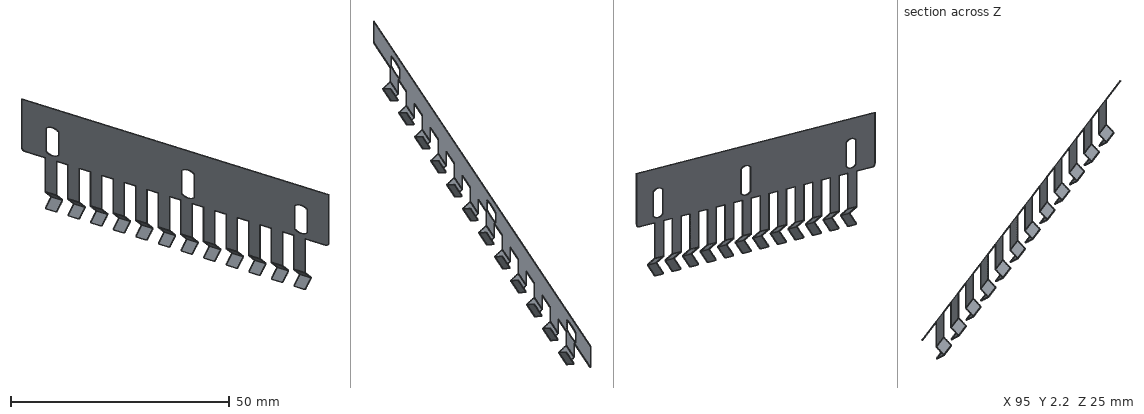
import cadquery as cq
import math

length = 95.0
total_height = 25.0
total_depth = 2.2
thickness = 0.2

plate_height = 12.5
plate_corner_radius = 0.9

finger_count = 12
finger_row = 76.95
finger_pitch = finger_row / (finger_count - 1)
finger_width = finger_pitch / 2
tip_corner_radius = 0.3
first_finger_x = 9.0
out_angle = math.radians(50)
back_angle = math.radians(41)

slot_width = 3.8
slot_height = 6.8
slot_depth = 8.1
slot_shift = 0.5
slot_fingers = (0, 6, 11)


def finger_x(index):
    return first_finger_x + index * finger_pitch


def make_plate():
    plate = cq.Workplane("XY").box(length, thickness, plate_height, centered=False)
    plate = plate.translate((0, 0, -plate_height))
    return plate.edges("|Y and <Z").fillet(plate_corner_radius)


def make_finger():
    """One finger, centred on X = 0: straight down, out to a rounded elbow and back."""
    reach = total_depth - thickness
    out_normal = (thickness * math.cos(out_angle), thickness * math.sin(out_angle))
    back_normal = (thickness * math.cos(back_angle), -thickness * math.sin(back_angle))

    tip_z = -total_height - back_normal[1]
    elbow_z = tip_z + reach / math.tan(back_angle)
    bend_z = elbow_z + reach / math.tan(out_angle)

    profile = (
        cq.Workplane("YZ")
        .moveTo(0, -plate_height)
        .lineTo(0, bend_z)
        .lineTo(reach, elbow_z)
        .lineTo(0, tip_z)
        .lineTo(back_normal[0], -total_height)
        .lineTo(reach + back_normal[0], elbow_z + back_normal[1])
        .threePointArc((total_depth, elbow_z), (reach + out_normal[0], elbow_z + out_normal[1]))
        .lineTo(thickness, bend_z + thickness * math.tan(out_angle / 2))
        .lineTo(thickness, -plate_height)
        .close()
    )
    strip = profile.extrude(finger_width / 2, both=True)
    tip_corners = cq.selectors.BoxSelector(
        (-finger_width, -thickness, -total_height - thickness),
        (finger_width, thickness, -total_height + thickness),
    )
    return strip.edges("not |X").edges(tip_corners).fillet(tip_corner_radius)


def make_slot_cutter():
    """Upright slot: a round hole narrowed by two parallel sides."""
    disc = cq.Workplane("XZ").circle(slot_height / 2).extrude(2 * thickness, both=True)
    sides = cq.Workplane("XY").box(slot_width, 4 * thickness, slot_height)
    return disc.intersect(sides)


result = make_plate()

finger = make_finger()
for index in range(finger_count):
    result = result.union(finger.translate((finger_x(index), 0, 0)))

slot_cutter = make_slot_cutter()
for index in slot_fingers:
    result = result.cut(slot_cutter.translate((finger_x(index) + slot_shift, 0, -slot_depth)))